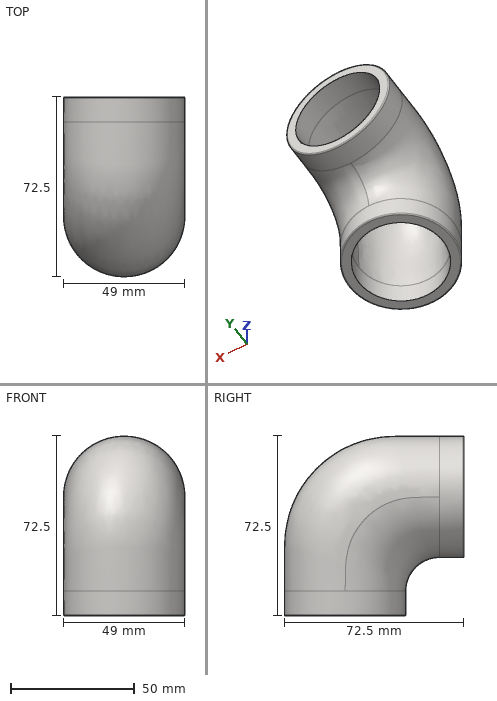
import cadquery as cq
import math

outer_diameter = 49.0
bore_diameter = 40.0
overall_length = 72.5
collar_length = 10.0
rim_round = 0.5

back_bend_radius = 44.5
section_count = 7

outer_radius = outer_diameter / 2
bore_radius = bore_diameter / 2
wall_thickness = outer_radius - bore_radius

port_reach = overall_length - outer_radius

pivot_y = port_reach - collar_length
pivot_z = collar_length


def back_distance(angle, pipe_radius, arc_radius):
    """Distance from the pivot to the back of the bend, at an angle measured up from the lower collar."""
    back_reach = pivot_y + pipe_radius
    arc_centre = back_reach - arc_radius
    below_arc = back_reach * math.tan(angle) <= arc_centre
    beyond_arc = back_reach <= arc_centre * math.tan(angle)
    if below_arc:
        return back_reach / math.cos(angle)
    if beyond_arc:
        return back_reach / math.sin(angle)
    centre_along_ray = arc_centre * (math.cos(angle) + math.sin(angle))
    centre_distance_squared = 2 * arc_centre**2
    return centre_along_ray + math.sqrt(centre_along_ray**2 - centre_distance_squared + arc_radius**2)


def bend_section(angle, pipe_radius, arc_radius):
    """Elliptical section between the throat arc and the back of the bend."""
    throat = pivot_y - pipe_radius
    back = back_distance(angle, pipe_radius, arc_radius)
    middle = (throat + back) / 2
    plane = cq.Plane(
        origin=(0, pivot_y - middle * math.cos(angle), pivot_z + middle * math.sin(angle)),
        xDir=(1, 0, 0),
        normal=(0, math.sin(angle), math.cos(angle)),
    )
    return cq.Workplane(plane).ellipse(pipe_radius, (back - throat) / 2).wires().val()


def make_bend(pipe_radius, arc_radius):
    step = math.pi / 2 / (section_count - 1)
    sections = [bend_section(index * step, pipe_radius, arc_radius) for index in range(section_count)]
    return cq.Workplane(cq.Solid.makeLoft(sections))


def make_lower_collar(pipe_radius):
    return cq.Workplane("XY").circle(pipe_radius).extrude(collar_length)


def make_side_collar(pipe_radius):
    port_face = cq.Plane(origin=(0, port_reach, port_reach), xDir=(1, 0, 0), normal=(0, -1, 0))
    return cq.Workplane(port_face).circle(pipe_radius).extrude(collar_length)


def make_body():
    """Outside of the elbow, with softened rims at both ports."""
    lower_collar = make_lower_collar(outer_radius).faces("<Z").edges().fillet(rim_round)
    side_collar = make_side_collar(outer_radius).faces(">Y").edges().fillet(rim_round)
    return make_bend(outer_radius, back_bend_radius).union(lower_collar).union(side_collar)


def make_bore():
    """Passage through the elbow, set in from the outside by the wall thickness."""
    bend = make_bend(bore_radius, back_bend_radius - wall_thickness)
    return bend.union(make_lower_collar(bore_radius)).union(make_side_collar(bore_radius))


result = make_body().cut(make_bore())